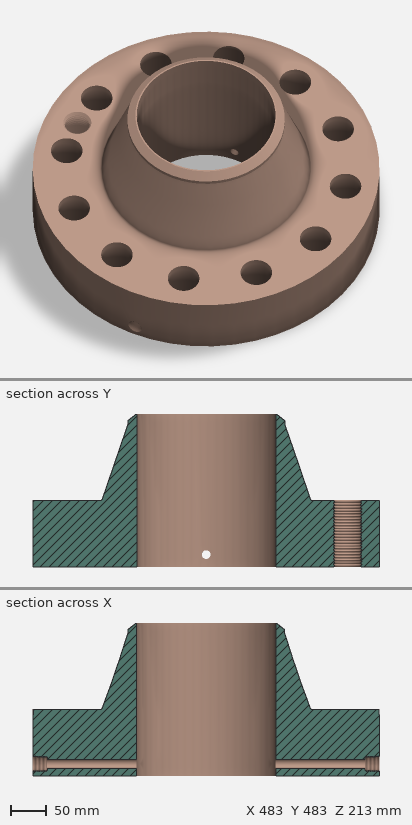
import cadquery as cq

flange_radius = 241.5
flange_thickness = 93.0
bore_radius = 96.5

total_height = 213.0
hub_base_radius = 145.7
hub_fillet = 3.0
neck_radius = 109.5
neck_length = 5.5
bevel_height = 8.5
weld_land_width = 2.0

bolt_count = 12
bolt_circle_radius = 196.5
bolt_hole_diameter = 44.0

jack_major_diameter = 39.0
jack_minor_diameter = 35.0
jack_pitch = 4.0

tap_height = 17.5
tap_major_diameter = 21.0
tap_minor_diameter = 18.5
tap_pitch = 1.85
tap_taper = 1 / 16
tap_thread_depth = 20.5
tap_drill_diameter = 12.0


def flange_and_neck():
    """Revolved body: flange, filleted tapered hub and bevelled weld end, with the bore open."""
    bevel_bottom = total_height - bevel_height
    outline = (
        cq.Workplane("XZ")
        .moveTo(bore_radius, 0)
        .lineTo(flange_radius, 0)
        .lineTo(flange_radius, flange_thickness)
        .lineTo(hub_base_radius, flange_thickness)
        .lineTo(neck_radius, bevel_bottom - neck_length)
        .lineTo(neck_radius, bevel_bottom)
        .lineTo(bore_radius + weld_land_width, total_height)
        .lineTo(bore_radius, total_height)
        .close()
    )
    sharp_body = outline.revolve(360, (0, 0, 0), (0, 1, 0))
    hub_base_edge = sharp_body.edges("%CIRCLE").edges(cq.selectors.RadiusNthSelector(-2))
    return hub_base_edge.fillet(hub_fillet)


def bolt_holes():
    half_step = 180 / bolt_count
    return (
        cq.Workplane("XY")
        .polarArray(bolt_circle_radius, half_step, 360, bolt_count)
        .circle(bolt_hole_diameter / 2)
        .extrude(flange_thickness)
    )


def threaded_plug(major_diameter, minor_diameter, pitch, length, taper=0.0):
    """Cutter along +Z from the origin, its thread made of V-shaped rings one pitch apart.

    Both diameters hold at the origin and shrink by `taper` per unit of length.
    """
    ring_count = round(length / pitch)
    ring_height = length / ring_count

    def flank_point(diameter, height):
        return ((diameter - taper * height) / 2, height)

    profile = cq.Workplane("XZ").lineTo(*flank_point(major_diameter, 0))
    for ring in range(ring_count):
        profile = profile.lineTo(*flank_point(minor_diameter, (ring + 0.5) * ring_height))
        profile = profile.lineTo(*flank_point(major_diameter, (ring + 1) * ring_height))
    return profile.lineTo(0, length).close().revolve(360, (0, 0, 0), (0, 1, 0))


def jack_screw_hole():
    plug = threaded_plug(jack_major_diameter, jack_minor_diameter, jack_pitch, flange_thickness)
    return plug.translate((-bolt_circle_radius, 0, 0))


def pressure_tap():
    """Cutter for the -Y tap: tapered thread in the rim and a smaller drilling into the bore."""
    mouth = threaded_plug(
        tap_major_diameter, tap_minor_diameter, tap_pitch, tap_thread_depth, tap_taper
    )
    drilling = cq.Workplane("XY").circle(tap_drill_diameter / 2).extrude(flange_radius)
    return (
        mouth.union(drilling)
        .rotate((0, 0, 0), (1, 0, 0), -90)
        .translate((0, -flange_radius, tap_height))
    )


front_tap = pressure_tap()
rear_tap = front_tap.mirror("XZ")

result = (
    flange_and_neck()
    .cut(bolt_holes())
    .cut(jack_screw_hole())
    .cut(front_tap)
    .cut(rear_tap)
)